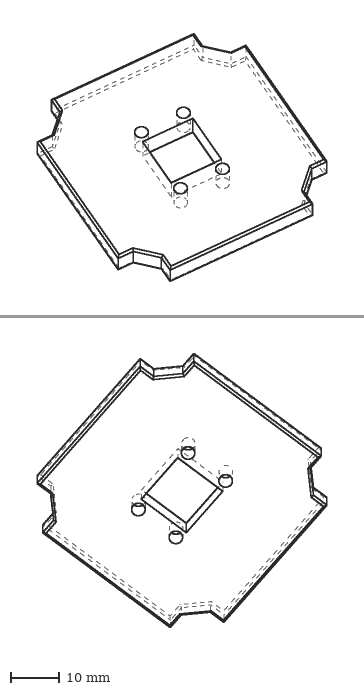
import cadquery as cq

plate_size = 49.8
plate_thickness = 5.0
edge_chamfer = 0.5

side_length = 34.0
notch_side_depth = 3.6

window_size = 12.0
hole_diameter = 2.8
hole_spacing_x = 16.4
hole_spacing_y = 10.0


def plate_outline():
    """Corner points of the notched square, in order around the plate."""
    outer = plate_size / 2
    side = side_length / 2
    diagonal = outer - notch_side_depth
    notch = [(outer, side), (diagonal, side), (side, diagonal), (side, outer)]
    points = []
    for _ in range(4):
        points.extend(notch)
        notch = [(-y, x) for x, y in notch]
    return points


def notched_plate():
    """Notched plate with its whole top and bottom rims chamfered."""
    plate = cq.Workplane("XY").polyline(plate_outline()).close().extrude(plate_thickness)
    return plate.faces("<Z or >Z").chamfer(edge_chamfer)


def cut_window(plate):
    """Cut the central square window through the plate."""
    return plate.faces(">Z").workplane(origin=(0, 0, 0)).rect(window_size, window_size).cutThruAll()


def cut_screw_holes(plate):
    """Drill the four through holes beside the window."""
    top = plate.faces(">Z").workplane(origin=(0, 0, 0))
    return top.rect(hole_spacing_x, hole_spacing_y, forConstruction=True).vertices().hole(hole_diameter)


result = cut_screw_holes(cut_window(notched_plate()))